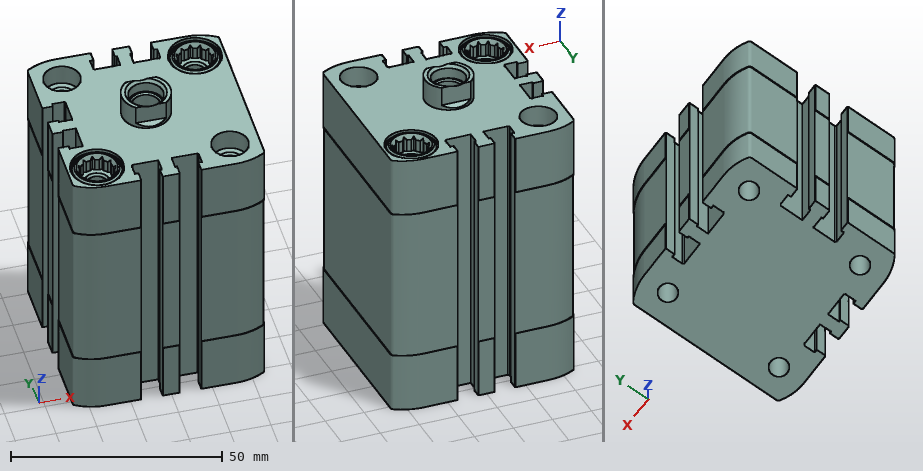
import cadquery as cq
import math

total_height = 75.4
body_width = 47.0
body_height = 69.4
cap_height = 15.0

corner_arc_start = 16.0
corner_arc_radius = 13.7
corner_edge_radius = 1.0

slot_depth = 5.9
lip_thickness = 2.65
rib_head_half = 2.1
rib_stem_half = 1.62
slot_opening_outer = 7.35
slot_cavity_outer = 8.2
slot_floor_chamfer = 0.3
lip_chamfer = 0.15
sleeve_inset = lip_chamfer
slotted_side_angles = (0, 90, 180)

screw_offset = 16.3
through_diameter = 4.9
countersink_diameter = 6.0
countersink_depth = 0.5
counterbore_diameter = 9.0
counterbore_depth = 5.3

recess_diameter = 12.8
collar_diameter = 11.9
collar_top_diameter = 10.85
collar_chamfer_depth = 0.5
recess_depth = 0.9
socket_mouth_diameter = 9.95
socket_diameter = 8.4
socket_mouth_depth = 1.35
socket_depth = 4.5
spline_count = 12
spline_tip_diameter = 9.2
spline_half_width = 0.5

rod_diameter = 12.0
rod_length = (total_height - body_height) + cap_height
flat_spacing = 9.4
flat_height = 4.8
ledge_drop = 0.75
thread_mouth_diameter = 9.95
thread_mouth_depth = 0.75
thread_diameter = 8.5
thread_depth = 3.5
shoulder_diameter = 7.85
drill_diameter = 6.8
drill_depth = 13.6
drill_point_angle = 118.0


def revolved(profile):
    """Solid of revolution about Z from (radius, height) points."""
    return cq.Workplane("XZ").polyline(profile).close().revolve(360, (0, 0), (0, 1))


def block(inset, bottom, height):
    """Square block with bulged corners, its faces moved inward by inset."""
    half = body_width / 2 - inset
    radius = corner_arc_radius - inset
    arc_centre_y = half - radius

    def bulge_y(x):
        return arc_centre_y + math.sqrt(radius**2 - (x - corner_arc_start) ** 2)

    middle_x = (corner_arc_start + half) / 2
    middle_y = bulge_y(middle_x)
    end_y = bulge_y(half)
    outline = (
        cq.Workplane("XY", origin=(0, 0, bottom))
        .moveTo(-corner_arc_start, half)
        .lineTo(corner_arc_start, half)
        .threePointArc((middle_x, middle_y), (half, end_y))
        .lineTo(half, -end_y)
        .threePointArc((middle_x, -middle_y), (corner_arc_start, -half))
        .lineTo(-corner_arc_start, -half)
        .threePointArc((-middle_x, -middle_y), (-half, -end_y))
        .lineTo(-half, end_y)
        .threePointArc((-middle_x, middle_y), (-corner_arc_start, half))
        .close()
    )
    return outline.extrude(height).edges("|Z and (>X or <X)").fillet(corner_edge_radius)


def slot_cutter():
    """Full-height cutter for one T-slot on the +Y side, right of the rib, with chamfered lips."""
    face = body_width / 2
    lip_back = face - lip_thickness
    floor = face - slot_depth
    points = [
        (rib_stem_half, floor),
        (slot_cavity_outer - slot_floor_chamfer, floor),
        (slot_cavity_outer, floor + slot_floor_chamfer),
        (slot_cavity_outer, lip_back),
        (slot_opening_outer, lip_back),
        (slot_opening_outer, face - lip_chamfer),
        (slot_opening_outer + lip_chamfer, face),
        (rib_head_half - lip_chamfer, face),
        (rib_head_half, face - lip_chamfer),
        (rib_head_half, lip_back),
        (rib_stem_half, lip_back),
    ]
    return cq.Workplane("XY").polyline(points).close().extrude(body_height)


def slotted_body():
    """Two end caps and the slightly narrower sleeve between them, with the slot pairs cut."""
    sleeve_height = body_height - 2 * cap_height
    body = (
        block(0, 0, cap_height)
        .union(block(sleeve_inset, cap_height, sleeve_height))
        .union(block(0, body_height - cap_height, cap_height))
    )
    right_slot = slot_cutter()
    for slot in (right_slot, right_slot.mirror("YZ")):
        for angle in slotted_side_angles:
            body = body.cut(slot.rotate((0, 0, 0), (0, 0, 1), angle))
    return body


def countersunk_hole(floor):
    """Through hole whose countersink opens at height floor."""
    return revolved([
        (0, 0),
        (through_diameter / 2, 0),
        (through_diameter / 2, floor - countersink_depth),
        (countersink_diameter / 2, floor),
        (0, floor),
    ])


def counterbored_hole():
    floor = body_height - counterbore_depth
    counterbore = (
        cq.Workplane("XY", origin=(0, 0, floor))
        .circle(counterbore_diameter / 2)
        .extrude(counterbore_depth)
    )
    return countersunk_hole(floor).union(counterbore)


def socket_splines(floor):
    """Twelve V-grooves around the socket, up to its conical mouth."""
    tip_share = (socket_mouth_diameter - spline_tip_diameter) / (socket_mouth_diameter - socket_diameter)
    tip_top = body_height - socket_mouth_depth * tip_share
    groove_root = socket_diameter / 2 * math.cos(math.asin(2 * spline_half_width / socket_diameter))
    groove = (
        cq.Workplane("XY", origin=(0, 0, floor))
        .polyline([
            (0, 0),
            (groove_root, -spline_half_width),
            (spline_tip_diameter / 2, 0),
            (groove_root, spline_half_width),
        ])
        .close()
        .extrude(tip_top - floor)
    )
    splines = groove
    for index in range(1, spline_count):
        splines = splines.union(groove.rotate((0, 0, 0), (0, 0, 1), index * 360 / spline_count))
    return splines


def screw_socket_cutter():
    """Everything removed at a socket screw: ring gap, splined socket and through hole."""
    floor = body_height - socket_depth
    ring_gap = revolved([
        (collar_top_diameter / 2, body_height),
        (collar_diameter / 2, body_height - collar_chamfer_depth),
        (collar_diameter / 2, body_height - recess_depth),
        (recess_diameter / 2, body_height - recess_depth),
        (recess_diameter / 2, body_height),
    ])
    socket = revolved([
        (0, floor),
        (socket_diameter / 2, floor),
        (socket_diameter / 2, body_height - socket_mouth_depth),
        (socket_mouth_diameter / 2, body_height),
        (0, body_height),
    ])
    return countersunk_hole(floor).union(socket).union(socket_splines(floor)).union(ring_gap)


def rod_cylinder():
    """Plain rod, which also gives its bore in the top cap."""
    return (
        cq.Workplane("XY", origin=(0, 0, total_height - rod_length))
        .circle(rod_diameter / 2)
        .extrude(rod_length)
    )


def make_housing():
    housing = slotted_body()
    plain_hole = counterbored_hole()
    screw_socket = screw_socket_cutter()
    for side in (-1, 1):
        housing = housing.cut(plain_hole.translate((side * screw_offset, -side * screw_offset, 0)))
        housing = housing.cut(screw_socket.translate((side * screw_offset, side * screw_offset, 0)))
    return housing.cut(rod_cylinder())


def wrench_flat_cutter():
    """Cutter for the flat on the +Y side of the rod, above a sloping ledge."""
    flat_y = flat_spacing / 2
    rod_side = rod_diameter / 2
    ledge = total_height - flat_height
    return (
        cq.Workplane("YZ")
        .polyline([
            (flat_y, total_height),
            (flat_y, ledge),
            (rod_side, ledge - ledge_drop),
            (rod_side, total_height),
        ])
        .close()
        .extrude(rod_diameter / 2, both=True)
    )


def make_rod():
    point_slope = 1 / math.tan(math.radians(drill_point_angle / 2))
    shoulder_drop = (shoulder_diameter - drill_diameter) / 2 * point_slope
    point_depth = drill_diameter / 2 * point_slope
    threaded_hole = revolved([
        (0, total_height),
        (thread_mouth_diameter / 2, total_height),
        (thread_diameter / 2, total_height - thread_mouth_depth),
        (thread_diameter / 2, total_height - thread_depth),
        (shoulder_diameter / 2, total_height - thread_depth),
        (drill_diameter / 2, total_height - thread_depth - shoulder_drop),
        (drill_diameter / 2, total_height - drill_depth),
        (0, total_height - drill_depth - point_depth),
    ])
    flat = wrench_flat_cutter()
    return rod_cylinder().cut(flat).cut(flat.mirror("XZ")).cut(threaded_hole)


housing = make_housing()
piston_rod = make_rod()
result = cq.Compound.makeCompound([housing.solids().val(), piston_rod.solids().val()])